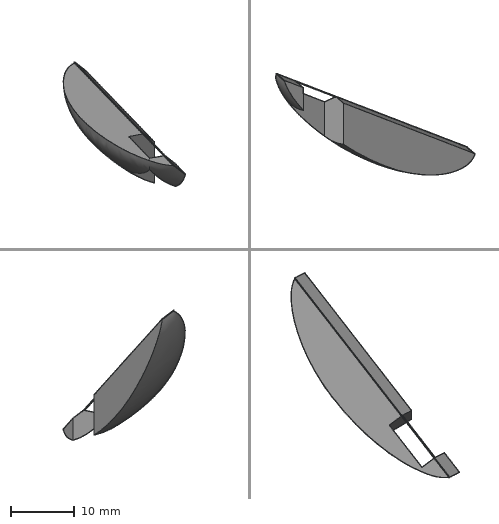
import cadquery as cq

length = 40.5
half_length = length / 2
back_y = 2.05
front_y = -6.85
keel_z = -10.05

slope_start_y = 0.25
slope_drop = back_y - slope_start_y

fullest_x = -1.2
swell_exponent = 0.66
end_swell = 0.02
station_count = 17

fullest_curve = [
    (front_y, 0),
    (-6.1, -2.9),
    (-4.05, -5.6),
    (-1.35, -8.05),
    (back_y, keel_z),
]

notch_start_x = 7.75
notch_end_x = 16.3
notch_front_y = -2.4

lip_height = 0.12


def swell(x):
    """Fullness of the hull at x, from almost 0 at the ends to 1."""
    reach = half_length - fullest_x if x > fullest_x else half_length + fullest_x
    ratio = (x - fullest_x) / reach
    return max(end_swell, (1 - ratio**2) ** swell_exponent)


def hull_section(x):
    """Closed section at x: deck, outer curve, back and sloping face."""
    fullness = swell(x)
    last = len(fullest_curve) - 1
    curve = []
    for index, (full_y, full_z) in enumerate(fullest_curve):
        drop = slope_drop * index / last
        slope_y = slope_start_y + drop
        y = slope_y + fullness * (full_y - slope_y)
        z = -drop + fullness * (full_z + drop)
        curve.append(cq.Vector(x, y, z))
    slope_top = cq.Vector(x, slope_start_y, 0)
    slope_bottom = cq.Vector(x, back_y, -slope_drop)
    return cq.Wire.assembleEdges([
        cq.Edge.makeLine(slope_top, curve[0]),
        cq.Edge.makeSpline(curve),
        cq.Edge.makeLine(curve[-1], slope_bottom),
        cq.Edge.makeLine(slope_bottom, slope_top),
    ])


def make_hull():
    spacing = length / (station_count - 1)
    stations = [-half_length + spacing * index for index in range(station_count)]
    sections = [hull_section(x) for x in stations]
    return cq.Workplane(obj=cq.Solid.makeLoft(sections, False))


def make_notch():
    return cq.Workplane("XY").box(
        notch_end_x - notch_start_x,
        back_y - notch_front_y,
        -keel_z,
        centered=False,
    ).translate((notch_start_x, notch_front_y, keel_z))


def make_lip():
    return (
        cq.Workplane("YZ", origin=(-half_length, 0, 0))
        .polyline([
            (0, 0),
            (slope_start_y, 0),
            (slope_start_y - lip_height, lip_height),
            (0, lip_height),
        ])
        .close()
        .extrude(length)
    )


result = make_hull().cut(make_notch()).union(make_lip())